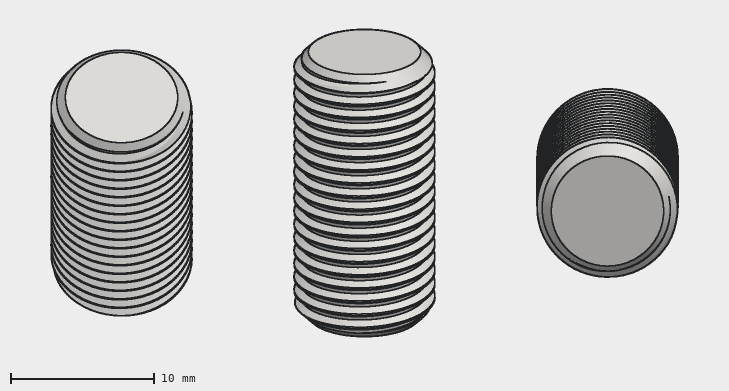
import cadquery as cq
import math

length = 20.0
major_diameter = 9.85
pitch = 1.0
thread_angle = 60.0
chamfer = 1.0

major_radius = major_diameter / 2
flank_slope = math.tan(math.radians(thread_angle / 2))
groove_mouth = pitch - pitch / 8
root_width = pitch / 4
thread_depth = (groove_mouth - root_width) / 2 / flank_slope
root_radius = major_radius - thread_depth

radial_overshoot = 0.05
overrun_turns = 1.5
turn_count = math.ceil(length / pitch + 2 * overrun_turns)

bar_margin = 5 * pitch


def make_envelope():
    """Outer shape of the stud: a cylinder with a 45 degree chamfer on each end."""
    return cq.Workplane("XY").circle(major_radius).extrude(length).edges("%CIRCLE").chamfer(chamfer)


def make_helix_path():
    """Helix at the root radius, joined from single turns so that each turn gets its own faces."""
    one_turn = cq.Wire.makeHelix(pitch, pitch, root_radius).Edges()[0]
    turns = [one_turn.translate(cq.Vector(0, 0, index * pitch)) for index in range(turn_count)]
    return cq.Workplane(cq.Wire.assembleEdges(turns))


def make_groove():
    """Helical groove; crests cross the +X side at whole multiples of the pitch."""
    outer_radius = major_radius + radial_overshoot
    half_mouth = groove_mouth / 2 + radial_overshoot * flank_slope
    half_root = root_width / 2

    profile = cq.Workplane("XZ").polyline(
        [
            (root_radius, -half_root),
            (outer_radius, -half_mouth),
            (outer_radius, half_mouth),
            (root_radius, half_root),
        ]
    ).close()
    groove = profile.sweep(make_helix_path(), isFrenet=True)
    return groove.translate((0, 0, -overrun_turns * pitch))


def make_threaded_bar():
    """Plain bar longer than the stud, so that the whole helical groove lies along it."""
    bar_length = length + 2 * bar_margin
    bar = cq.Workplane("XY").workplane(offset=-bar_margin).circle(major_radius).extrude(bar_length)
    return bar.cut(make_groove())


result = make_threaded_bar().intersect(make_envelope())